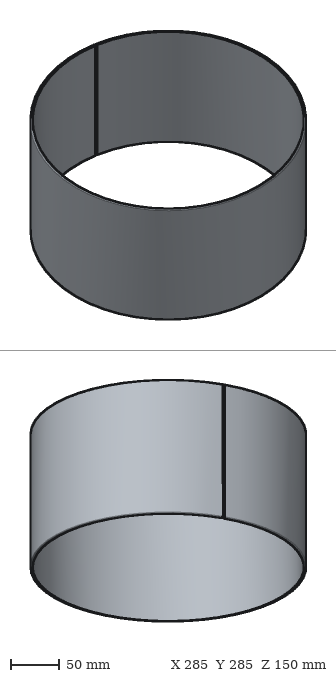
import cadquery as cq

outer_diameter = 285.0
height = 150.0
wall = 2.5
rim_fillet = 1.0
gap_angle = 1.0

outer_radius = outer_diameter / 2

band = (
    cq.Workplane("XZ")
    .moveTo(-outer_radius, 0)
    .rect(wall, height, centered=False)
    .revolve(360 - gap_angle, (0, 0, 0), (0, 1, 0))
)

rims = band.edges("%CIRCLE").edges(cq.selectors.RadiusNthSelector(-1))
result = rims.fillet(rim_fillet)